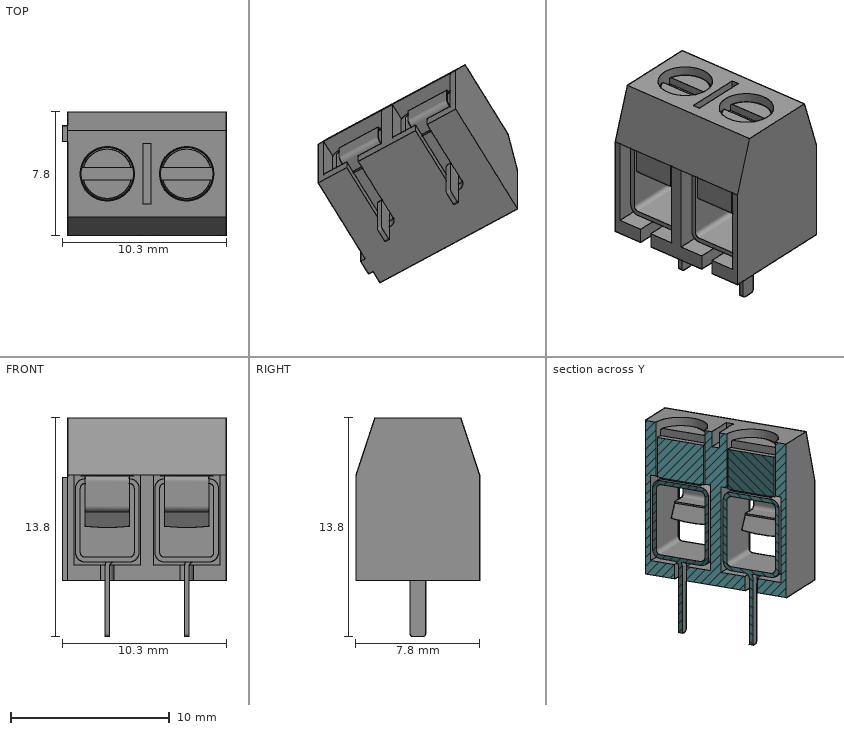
import cadquery as cq
import math


housing_width = 10.0
housing_depth = 7.8
housing_height = 10.25
shoulder_height = 6.64
shoulder_inset = 1.19
pole_pitch = 5.0
pole_positions = (-pole_pitch / 2, pole_pitch / 2)
front_y = -housing_depth / 2
back_y = housing_depth / 2

rib_thickness = 0.33
rib_width = 1.0
rib_height = 6.5
rib_back_inset = 0.87

groove_width = 0.5
groove_length = 3.83
groove_depth = 1.0

sheet = 0.3
bend_inner_radius = 0.3
bend_outer_radius = bend_inner_radius + sheet
cage_width = 4.0
cage_bottom = 1.175
cage_front_inset = 0.93
cage_front_y = front_y + cage_front_inset
cage_depth = housing_depth - 2 * cage_front_inset
pin_width = 1.0
pin_length = 3.53
pin_tip_radius = 0.2

guard_thickness = 0.1
guard_clearance = 0.075
guard_width = cage_width - 2 * bend_outer_radius
guard_bend_radius = 0.35
guard_top = 6.59
guard_bottom = 4.33
guard_front_y = cage_front_y - guard_clearance - guard_thickness
guard_back_y = 2.0
tongue_start_y = -2.0
tongue_tilt = 29.0
tongue_tip_height = 3.345
tongue_tip_bulge = 0.085
cage_top = guard_top - guard_thickness - guard_clearance

pocket_width = 4.2
pocket_floor = 0.98
pin_slot_width = 0.83
pin_slot_centre_y = pin_width / 2

screw_diameter = 3.3
screw_hole_diameter = 3.42
screw_recess = 0.5
screw_chamfer = 0.1
driver_slot_width = 0.76
driver_slot_depth = 0.5


def box(width, depth, height, x, y, z):
    """A box centred on x, with its front at y and its bottom at z."""
    return cq.Workplane("XY").box(width, depth, height, centered=(True, False, False)).translate((x, y, z))


def make_housing():
    """Block with sloped shoulders, a key rib, a top groove, and a pocket and screw hole per pole."""
    profile = [
        (front_y, 0),
        (back_y, 0),
        (back_y, shoulder_height),
        (back_y - shoulder_inset, housing_height),
        (front_y + shoulder_inset, housing_height),
        (front_y, shoulder_height),
    ]
    body = cq.Workplane("YZ").polyline(profile).close().extrude(housing_width / 2, both=True)

    rib_x = -(housing_width + rib_thickness) / 2
    rib_y = back_y - rib_back_inset - rib_width
    body = body.union(box(rib_thickness, rib_width, rib_height, rib_x, rib_y, 0))

    groove_floor = housing_height - groove_depth
    body = body.cut(box(groove_width, groove_length, groove_depth, 0, -groove_length / 2, groove_floor))

    pocket_depth = cage_front_inset + cage_depth
    pocket_height = shoulder_height - pocket_floor
    for x in pole_positions:
        body = body.cut(box(pocket_width, pocket_depth, pocket_height, x, front_y, pocket_floor))
        body = body.cut(make_pin_slot(x))
        screw_hole = (
            cq.Workplane("XY", origin=(x, 0, shoulder_height))
            .circle(screw_hole_diameter / 2)
            .extrude(housing_height - shoulder_height)
        )
        body = body.cut(screw_hole)
    return body


def make_pin_slot(x):
    """Slot open to the front and the underside, with a round inner end."""
    straight_length = pin_slot_centre_y - front_y
    straight = box(pin_slot_width, straight_length, pocket_floor, x, front_y, 0)
    round_end = (
        cq.Workplane("XY", origin=(x, pin_slot_centre_y, 0)).circle(pin_slot_width / 2).extrude(pocket_floor)
    )
    return straight.union(round_end)


def make_cage(x):
    """Rounded rectangular tube, open to front and back, with a pin bent down from its floor."""
    cage_height = cage_top - cage_bottom
    outer = box(cage_width, cage_depth, cage_height, x, cage_front_y, cage_bottom)
    outer = outer.edges("|Y").fillet(bend_outer_radius)
    inner_width = cage_width - 2 * sheet
    inner_height = cage_height - 2 * sheet
    inner = box(inner_width, cage_depth, inner_height, x, cage_front_y, cage_bottom + sheet)
    inner = inner.edges("|Y").fillet(bend_inner_radius)

    pin_left = x - sheet / 2
    bend_x = pin_left + bend_outer_radius
    bend_z = cage_bottom - bend_inner_radius
    diagonal = math.sqrt(0.5)
    pin = (
        cq.Workplane("XZ")
        .moveTo(pin_left, -pin_length)
        .lineTo(pin_left, bend_z)
        .threePointArc(
            (bend_x - bend_outer_radius * diagonal, bend_z + bend_outer_radius * diagonal),
            (bend_x, bend_z + bend_outer_radius),
        )
        .lineTo(bend_x, cage_bottom)
        .threePointArc(
            (bend_x - bend_inner_radius * diagonal, bend_z + bend_inner_radius * diagonal),
            (bend_x - bend_inner_radius, bend_z),
        )
        .lineTo(pin_left + sheet, -pin_length)
        .close()
        .extrude(pin_width / 2, both=True)
    )
    pin = pin.faces("<Z").edges("|X").fillet(pin_tip_radius)
    return outer.cut(inner).union(pin)


def make_wire_guard(x):
    """C-shaped strip over the top and front of the cage, with a tongue slanting down behind."""
    tilt = math.radians(tongue_tilt)
    lower_leg_end = tongue_start_y + guard_thickness / math.cos(tilt)
    guard_height = guard_top - guard_bottom
    upper_leg_length = guard_back_y - guard_front_y
    lower_leg_length = lower_leg_end - guard_front_y

    outer = box(guard_width, upper_leg_length, guard_height, x, guard_front_y, guard_bottom)
    outer = outer.faces("<Y").edges("|X").fillet(guard_bend_radius)
    inner_height = guard_height - 2 * guard_thickness
    inner_bottom = guard_bottom + guard_thickness
    inner_front_y = guard_front_y + guard_thickness
    inner = box(guard_width, upper_leg_length, inner_height, x, inner_front_y, inner_bottom)
    inner = inner.faces("<Y").edges("|X").fillet(guard_bend_radius - guard_thickness)
    behind_lower_leg = box(
        guard_width,
        upper_leg_length - lower_leg_length,
        guard_height - guard_thickness,
        x,
        lower_leg_end,
        guard_bottom,
    )
    strip = outer.cut(inner).cut(behind_lower_leg)

    tongue_length = (guard_bottom - tongue_tip_height) / math.cos(tilt)
    side_length = tongue_length - tongue_tip_bulge
    front_face = cq.Plane(
        origin=(x, tongue_start_y, guard_bottom),
        xDir=(1, 0, 0),
        normal=(0, -math.cos(tilt), -math.sin(tilt)),
    )
    tongue = (
        cq.Workplane(front_face)
        .moveTo(-guard_width / 2, 0)
        .lineTo(-guard_width / 2, -side_length)
        .threePointArc((0, -tongue_length), (guard_width / 2, -side_length))
        .lineTo(guard_width / 2, 0)
        .close()
        .extrude(-guard_thickness)
    )
    return strip.union(tongue)


def make_screw(x):
    """Slotted cylinder standing on the wire guard."""
    head_top = housing_height - screw_recess
    screw_length = head_top - guard_top
    body = cq.Workplane("XY", origin=(x, 0, guard_top)).circle(screw_diameter / 2).extrude(screw_length)
    body = body.faces(">Z").edges().chamfer(screw_chamfer)
    slot_floor = head_top - driver_slot_depth
    slot = box(screw_diameter, driver_slot_width, driver_slot_depth, x, -driver_slot_width / 2, slot_floor)
    return body.cut(slot)


housing = make_housing()
cages = [make_cage(x) for x in pole_positions]
wire_guards = [make_wire_guard(x) for x in pole_positions]
screws = [make_screw(x) for x in pole_positions]

metal_parts = cages + wire_guards + screws
result = cq.Compound.makeCompound([housing.val()] + [part.val() for part in metal_parts])